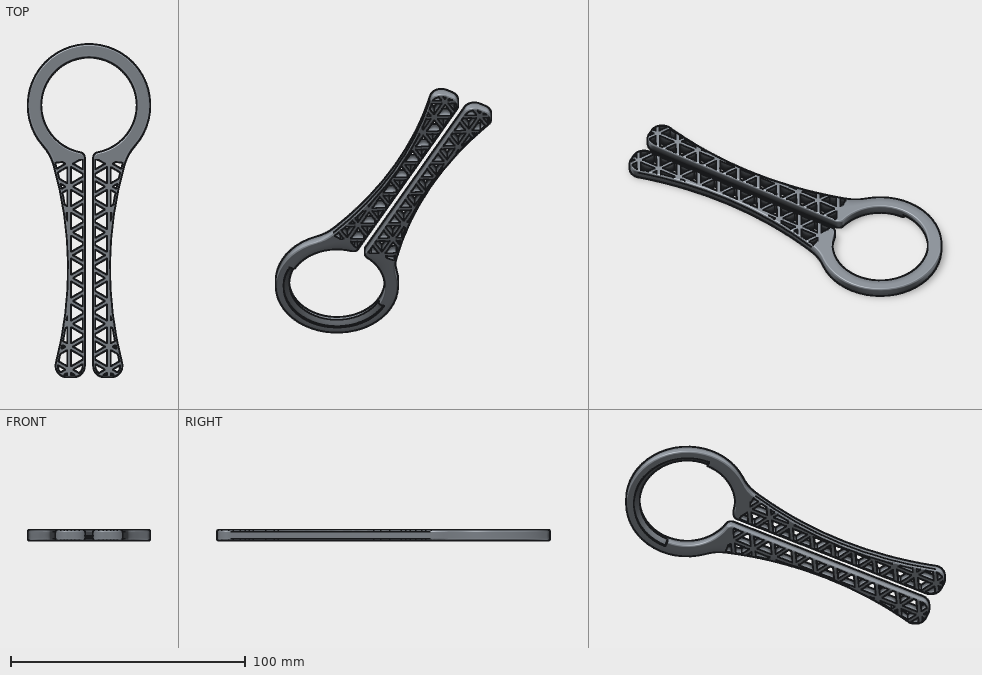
import cadquery as cq
import math

thickness = 4.8
half_thickness = thickness / 2
edge_radius = 1.0

ring_radius = 26.19
bore_radius = 20.3

undercut_radius = 22.8
undercut_top = -0.2
undercut_cone_bottom = -half_thickness + edge_radius

total_length = 142.18
gap_width = 3.4
gap_side = gap_width / 2
handle_end_y = ring_radius - total_length
end_corner_radius = 5.0
tip_corner_radius = 2.5
neck_radius = 20.0

waist_x = 9.0
waist_y = -69.5
waist_radius = 160.0
handle_root_y = -0.75 * bore_radius

rim_width = edge_radius
strut_width = 1.7
strut_angle = 30.0
node_count = 10
node_pitch = 9.75
first_node_y = -24.9
last_node_y = first_node_y - node_pitch * (node_count - 1)
post_x = node_pitch * math.cos(math.radians(strut_angle))

truss_top_y = -23.2
truss_top_slope = 0.112


def outer_side_x(y, inset):
    """X of the left handle's concave outer side, moved inward by inset."""
    radius = waist_radius + inset
    return -waist_x - waist_radius + math.sqrt(radius**2 - (y - waist_y) ** 2)


def handle_blank(inset, top_y, top_slope=0.0):
    """Left handle without holes; its sides and end are moved inward by inset."""
    inner_x = -gap_side - inset
    end_y = handle_end_y + inset
    top_width = inner_x - outer_side_x(top_y, inset)
    outer_top_y = top_y - top_slope * top_width
    return (
        cq.Workplane("XY", origin=(0, 0, -half_thickness))
        .moveTo(inner_x, top_y)
        .lineTo(inner_x, end_y)
        .lineTo(outer_side_x(end_y, inset), end_y)
        .threePointArc(
            (outer_side_x(waist_y, inset), waist_y),
            (outer_side_x(outer_top_y, inset), outer_top_y),
        )
        .close()
        .extrude(thickness)
        .edges("|Z and <Y")
        .fillet(end_corner_radius - inset)
    )


def both_sides(left):
    """The left body together with its mirror image on the right."""
    return left.union(left.mirror("YZ"))


def disc(radius):
    return cq.Workplane("XY").circle(radius).extrude(half_thickness, both=True)


def round_upright_edges(body, x_range, y_range, radius):
    """Fillet the upright edges found within these X and Y ranges, on both sides."""
    for side in (-1, 1):
        box = cq.selectors.BoxSelector(
            (side * x_range[0], y_range[0], -edge_radius),
            (side * x_range[1], y_range[1], edge_radius),
        )
        body = body.edges(box).fillet(radius)
    return body


def plate():
    """Ring and handles with all outer edges rounded, without truss or undercut."""
    gap = cq.Workplane("XY").box(gap_width, 2 * total_length, thickness, centered=(True, False, True))
    gap = gap.translate((0, -2 * total_length, 0))
    body = disc(ring_radius).union(both_sides(handle_blank(0, handle_root_y)))
    body = body.cut(gap).cut(disc(bore_radius))

    joint_band = (-1.1 * bore_radius, -0.9 * bore_radius)
    body = round_upright_edges(body, (waist_x, 2 * waist_x), joint_band, neck_radius)
    body = round_upright_edges(body, (0, gap_width), joint_band, tip_corner_radius)
    return body.faces("|Z").edges().fillet(edge_radius)


def struts():
    """Centre post of the left handle and the crossed diagonals through each node."""
    post_length = first_node_y - last_node_y + 2 * node_pitch
    post_middle_y = (first_node_y + last_node_y) / 2
    bars = cq.Workplane("XY").box(strut_width, post_length, thickness)
    bars = bars.translate((-post_x, post_middle_y, 0))
    diagonal = cq.Workplane("XY").box(2 * node_pitch, strut_width, thickness)
    for node in range(node_count):
        node_y = first_node_y - node * node_pitch
        for angle in (-strut_angle, strut_angle):
            bar = diagonal.rotate((0, 0, 0), (0, 0, 1), angle)
            bars = bars.union(bar.translate((-post_x, node_y, 0)))
    return bars


def truss_windows():
    """Openings between the struts of the left handle."""
    return handle_blank(rim_width, truss_top_y, truss_top_slope).cut(struts())


def undercut():
    """Half-turn body that widens the lower part of the bore on the +Y side."""
    return (
        cq.Workplane("XZ")
        .moveTo(0, undercut_top)
        .lineTo(bore_radius, undercut_top)
        .lineTo(undercut_radius, undercut_cone_bottom)
        .lineTo(undercut_radius, -half_thickness)
        .lineTo(0, -half_thickness)
        .close()
        .revolve(180, (0, 0, 0), (0, 1, 0))
    )


result = plate().cut(both_sides(truss_windows())).cut(undercut())